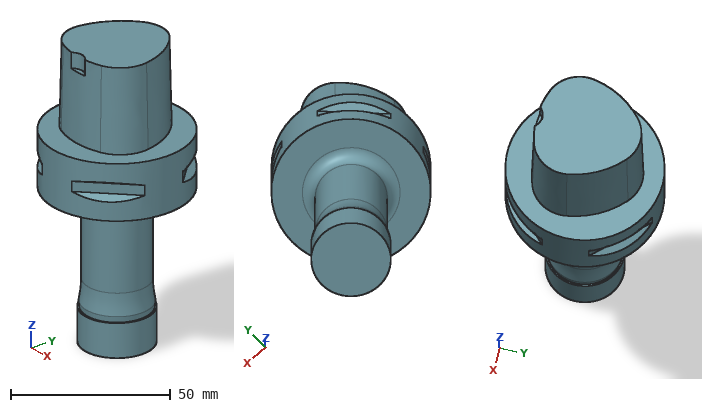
import cadquery as cq
import math

HEAD_LENGTH = 12.2
COLLAR_LENGTH = 2.2
FLARE_LENGTH = 7.8
FLANGE_BOTTOM = 54.0
FLANGE_THICKNESS = 20.0
SHANK_LENGTH = 30.0
COLLAR_TOP = HEAD_LENGTH + COLLAR_LENGTH
FLARE_TOP = COLLAR_TOP + FLARE_LENGTH
FLANGE_TOP = FLANGE_BOTTOM + FLANGE_THICKNESS
SHANK_TOP = FLANGE_TOP + SHANK_LENGTH

HEAD_DIAMETER = 25.0
COLLAR_END_DIAMETER = 23.8
FLARE_DIAMETER = 24.2
NECK_DIAMETER = 22.62
FLANGE_DIAMETER = 50.0
NECK_FILLET_RADIUS = 4.0

LOBE_COUNT = 3
LOBE_REACH = 18.6
LOBE_RADIUS = 11.9
FLANK_REACH = 16.3
SHANK_TAPER = 1 / 45

GROOVE_COUNT = 4
GROOVE_FLOOR_DISTANCE = 22.2
GROOVE_FLOOR_WIDTH = 3.55
GROOVE_WALL_ANGLE = math.radians(30)
GROOVE_OVERRUN = 1.0

KEYWAY_RADIUS = 4.5
KEYWAY_REACH = 13.87
KEYWAY_DEPTH = 5.5


def flare_radius_of_curvature():
    """Radius of the arc that leaves the neck tangentially and reaches the flare diameter."""
    rise = (FLARE_DIAMETER - NECK_DIAMETER) / 2
    return (FLARE_LENGTH**2 + rise**2) / (2 * rise)


def turned_body():
    """Collar, flare, neck and flange as one revolved profile."""
    neck_radius = NECK_DIAMETER / 2
    flange_radius = FLANGE_DIAMETER / 2
    fillet_start = FLANGE_BOTTOM - NECK_FILLET_RADIUS
    curve = flare_radius_of_curvature()
    half_turn = math.asin(FLARE_LENGTH / curve) / 2
    flare_middle = (
        neck_radius + curve * (1 - math.cos(half_turn)),
        FLARE_TOP - curve * math.sin(half_turn),
    )
    fillet_inset = NECK_FILLET_RADIUS * math.sin(math.pi / 4)
    fillet_middle = (
        neck_radius + NECK_FILLET_RADIUS - fillet_inset,
        fillet_start + fillet_inset,
    )
    profile = (
        cq.Workplane("XZ")
        .moveTo(0, HEAD_LENGTH)
        .lineTo(COLLAR_END_DIAMETER / 2, HEAD_LENGTH)
        .lineTo(FLARE_DIAMETER / 2, COLLAR_TOP)
        .threePointArc(flare_middle, (neck_radius, FLARE_TOP))
        .lineTo(neck_radius, fillet_start)
        .threePointArc(fillet_middle, (neck_radius + NECK_FILLET_RADIUS, FLANGE_BOTTOM))
        .lineTo(flange_radius, FLANGE_BOTTOM)
        .lineTo(flange_radius, FLANGE_TOP)
        .lineTo(0, FLANGE_TOP)
        .close()
    )
    return profile.revolve(360, (0, 0, 0), (0, 1, 0))


def polar(radius, angle):
    """Point at an angle measured from the +Y direction, counter-clockwise."""
    return (-radius * math.sin(angle), radius * math.cos(angle))


def lobed_outline(inset):
    """Closed outline of lobe and flank arcs, tangent to each other, moved inwards by the inset."""
    half_pitch = math.pi / LOBE_COUNT
    lobe_offset = LOBE_REACH - LOBE_RADIUS
    across = lobe_offset * math.sin(half_pitch)
    along = lobe_offset * math.cos(half_pitch)

    step = FLANK_REACH - along
    flank_radius = (across**2 + step**2 - LOBE_RADIUS**2) / (2 * (step - LOBE_RADIUS))
    flank_half_span = math.asin(across / (flank_radius - LOBE_RADIUS))
    lobe_half_span = half_pitch - flank_half_span

    def lobe_end(tip, side):
        x, y = polar(lobe_offset, tip)
        dx, dy = polar(LOBE_RADIUS - inset, tip + side * lobe_half_span)
        return (x + dx, y + dy)

    outline = cq.Workplane("XY").moveTo(*lobe_end(0, -1))
    for index in range(LOBE_COUNT):
        tip = 2 * half_pitch * index
        next_tip = tip + 2 * half_pitch
        outline = outline.threePointArc(polar(LOBE_REACH - inset, tip), lobe_end(tip, 1))
        flank_middle = polar(FLANK_REACH - inset, tip + half_pitch)
        outline = outline.threePointArc(flank_middle, lobe_end(next_tip, -1))
    return outline.close().val()


def shank():
    base = lobed_outline(0).translate((0, 0, FLANGE_TOP))
    top = lobed_outline(SHANK_TAPER * SHANK_LENGTH).translate((0, 0, SHANK_TOP))
    return cq.Workplane("XY").add(cq.Solid.makeLoft([base, top], True))


def gripper_groove(angle):
    """Straight trapezoidal cutter facing outwards at the given angle around the axis."""
    outer_distance = FLANGE_DIAMETER / 2 + GROOVE_OVERRUN
    floor_half = GROOVE_FLOOR_WIDTH / 2
    spread = (outer_distance - GROOVE_FLOOR_DISTANCE) * math.tan(GROOVE_WALL_ANGLE)
    middle = FLANGE_BOTTOM + FLANGE_THICKNESS / 2
    return (
        cq.Workplane("XZ")
        .moveTo(GROOVE_FLOOR_DISTANCE, middle - floor_half)
        .lineTo(outer_distance, middle - floor_half - spread)
        .lineTo(outer_distance, middle + floor_half + spread)
        .lineTo(GROOVE_FLOOR_DISTANCE, middle + floor_half)
        .close()
        .extrude(FLANGE_DIAMETER / 2, both=True)
        .rotate((0, 0, 0), (0, 0, 1), angle)
    )


def keyway():
    return (
        cq.Workplane("XY", origin=(0, 0, SHANK_TOP - KEYWAY_DEPTH))
        .center(0, -(KEYWAY_REACH + KEYWAY_RADIUS))
        .circle(KEYWAY_RADIUS)
        .extrude(KEYWAY_DEPTH)
    )


def make_holder():
    holder = turned_body().union(shank()).cut(keyway())
    groove_pitch = 360 / GROOVE_COUNT
    for index in range(GROOVE_COUNT):
        holder = holder.cut(gripper_groove((index + 0.5) * groove_pitch))
    return holder


def make_head():
    return cq.Workplane("XY").circle(HEAD_DIAMETER / 2).extrude(HEAD_LENGTH)


holder = make_holder()
head = make_head()
result = cq.Compound.makeCompound([*holder.solids().vals(), head.val()])